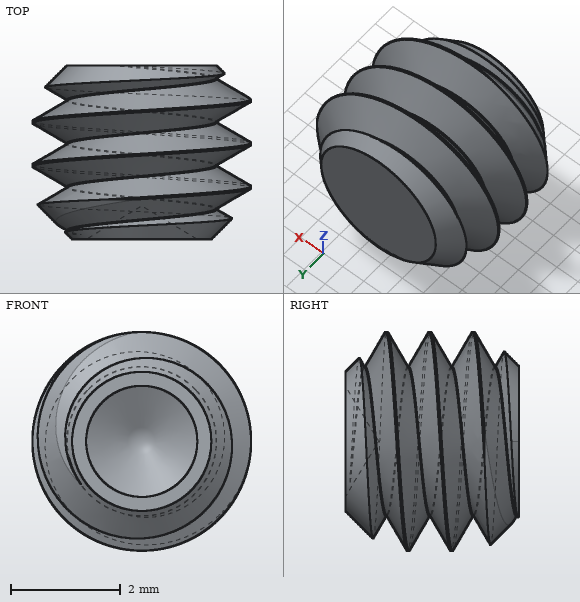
import cadquery as cq
import math

major_radius = 1.995
root_radius = 1.355
length = 3.17
pitch = length / 4
crest_width = 0.035
flank_angle = 30.0
crest_offset = 0.155

cup_end_radius = 1.27
far_end_radius = 1.365
cup_radius = 1.015
cup_included_angle = 118.0
cup_depth = cup_radius / math.tan(math.radians(cup_included_angle / 2))

root_overlap = 0.03
extra_turns = 2


def thread_ridge():
    """Helical ridge about Z, longer than the screw at both ends."""
    half_crest = crest_width / 2
    flank_slope = math.tan(math.radians(flank_angle))
    inner_radius = root_radius - root_overlap
    half_base = half_crest + (major_radius - root_radius) * flank_slope
    turns = length / pitch + extra_turns
    start = crest_offset - pitch * extra_turns / 2
    corners = [
        (inner_radius, -half_base),
        (root_radius, -half_base),
        (major_radius, -half_crest),
        (major_radius, half_crest),
        (root_radius, half_base),
        (inner_radius, half_base),
    ]
    helices = [
        cq.Wire.makeHelix(pitch, turns * pitch, radius, center=cq.Vector(0, 0, start + offset))
        for radius, offset in corners
    ]
    sides = [
        cq.Face.makeRuledSurface(helices[i - 1], helices[i])
        for i in range(len(helices))
    ]
    ends = [
        cq.Face.makeFromWires(cq.Wire.makePolygon(
            [cq.Vector(radius, 0, height + offset) for radius, offset in corners], close=True))
        for height in (start, start + turns * pitch)
    ]
    ridge = cq.Solid.makeSolid(cq.Shell.makeShell(sides + ends))
    return cq.Workplane(obj=ridge.fix())


def chamfered_blank():
    """Major-diameter cylinder with a 45 degree chamfer at each end."""
    return cq.Workplane("XZ").polyline([
        (0, 0),
        (cup_end_radius, 0),
        (major_radius, major_radius - cup_end_radius),
        (major_radius, length - (major_radius - far_end_radius)),
        (far_end_radius, length),
        (0, length),
    ]).close().revolve(360, (0, 0, 0), (0, 1, 0))


def cup():
    """Conical recess with its mouth on the cup end."""
    return cq.Workplane("XZ").polyline([
        (0, 0),
        (cup_radius, 0),
        (0, cup_depth),
    ]).close().revolve(360, (0, 0, 0), (0, 1, 0))


blank = chamfered_blank()
core = cq.Workplane("XY").circle(root_radius).extrude(length).intersect(blank)
screw = core.union(thread_ridge().intersect(blank)).cut(cup())

result = screw.rotate((0, 0, 0), (1, 0, 0), -90)
result = result.translate((0, -length / 2, 0))